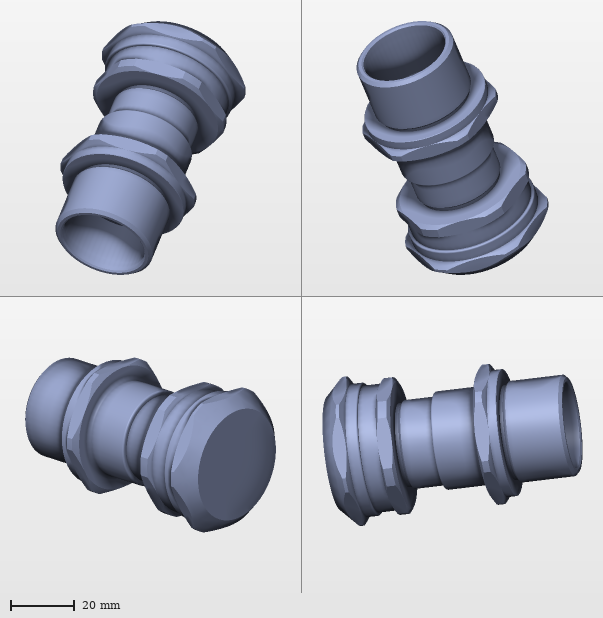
import cadquery as cq
import math

LENGTH = 76.05

THREAD_DIA = 32.0
RELIEF_DIA = 30.0
THREAD_END = 19.0
FLANGE_START = 20.0
FLANGE_CHAMFER = 0.15
THREAD_CHAMFER = (THREAD_DIA - RELIEF_DIA) / 2

BORE_DIA = 27.0
BORE_MOUTH_DIA = 28.0
BORE_DEPTH = 18.0

BODY_DIA = 40.0
COLLAR_DIA = 42.0
COLLAR_START = 64.3
COLLAR_EDGE_RADIUS = 0.5

BARREL_DIA = 31.0
BARREL_END = 42.05
BARREL_EDGE_RADIUS = 0.6
BARREL_ROOT_DIA = 33.5
BARREL_ROOT_RADIUS = (BARREL_ROOT_DIA - BARREL_DIA) / 2
STEM_DIA = 28.0
STEM_END = 52.8
NECK_DIA = 26.5
STEM_CHAMFER = (STEM_DIA - NECK_DIA) / 2

HEX_FLATS = 40.0
HEX_CHAMFER_ANGLE = 30
LOWER_HEX_CORNERS = 44.1
LOWER_HEX_START = 23.0
LOWER_HEX_END = 27.45
MIDDLE_HEX_CORNERS = 43.05
MIDDLE_HEX_START = 53.9
MIDDLE_HEX_END = 58.55
CAP_HEX_FLATS = 43.0
CAP_HEX_CORNERS = 47.0
CAP_HEX_START = 68.1
CAP_CONE_HEIGHT = 5.5


def cylinder(diameter, start, end):
    """Cylinder along +Y between two axial positions."""
    return cq.Workplane("XZ", origin=(0, start, 0)).circle(diameter / 2).extrude(start - end)


def hexagon(flats, start, end):
    """Hexagonal prism along Y with two corners on the X axis."""
    corner_circle = flats / math.cos(math.pi / 6)
    return cq.Workplane("XZ", origin=(0, start, 0)).polygon(6, corner_circle).extrude(start - end)


def chamfer_height(corner_dia, face_dia):
    """Axial height of a hexagon corner chamfer."""
    return (corner_dia - face_dia) / 2 * math.tan(math.radians(HEX_CHAMFER_ANGLE))


def revolve_profile(points):
    """Solid of revolution about Y from (radius, y) points."""
    return cq.Workplane("XY").polyline(points).close().revolve(360, (0, 0, 0), (0, 1, 0))


def chamfered_hexagon(corner_dia, start, end):
    """Hexagon whose corners are turned round and chamfered at both ends."""
    height = chamfer_height(corner_dia, BODY_DIA)
    envelope = revolve_profile([
        (0, start),
        (BODY_DIA / 2, start),
        (corner_dia / 2, start + height),
        (corner_dia / 2, end - height),
        (BODY_DIA / 2, end),
        (0, end),
    ])
    return hexagon(HEX_FLATS, start, end).intersect(envelope)


def cap_hexagon():
    """Cap hexagon, chamfered toward the collar and coned toward the closed end."""
    corner_radius = CAP_HEX_CORNERS / 2
    envelope = revolve_profile([
        (0, CAP_HEX_START),
        (COLLAR_DIA / 2, CAP_HEX_START),
        (corner_radius, CAP_HEX_START + chamfer_height(CAP_HEX_CORNERS, COLLAR_DIA)),
        (corner_radius, LENGTH - CAP_CONE_HEIGHT),
        (corner_radius - CAP_CONE_HEIGHT, LENGTH),
        (0, LENGTH),
    ])
    return hexagon(CAP_HEX_FLATS, CAP_HEX_START, LENGTH).intersect(envelope)


def barrel():
    """Barrel with a concave root fillet and a rounded far edge."""
    radius = BARREL_DIA / 2
    root_centre_y = LOWER_HEX_END + BARREL_ROOT_RADIUS
    arc_offset = BARREL_ROOT_RADIUS * math.sin(math.pi / 4)
    profile = (
        cq.Workplane("XY")
        .moveTo(0, LOWER_HEX_END)
        .lineTo(BARREL_ROOT_DIA / 2, LOWER_HEX_END)
        .threePointArc(
            (BARREL_ROOT_DIA / 2 - arc_offset, root_centre_y - arc_offset),
            (radius, root_centre_y),
        )
        .lineTo(radius, BARREL_END)
        .lineTo(0, BARREL_END)
        .close()
    )
    return profile.revolve(360, (0, 0, 0), (0, 1, 0)).faces(">Y").edges().fillet(BARREL_EDGE_RADIUS)


def bore():
    """Blind bore with a 45 degree countersink at its mouth."""
    mouth_depth = (BORE_MOUTH_DIA - BORE_DIA) / 2
    return revolve_profile([
        (0, 0),
        (BORE_MOUTH_DIA / 2, 0),
        (BORE_DIA / 2, mouth_depth),
        (BORE_DIA / 2, BORE_DEPTH),
        (0, BORE_DEPTH),
    ])


thread = cylinder(THREAD_DIA, 0, THREAD_END).faces("<Y or >Y").edges().chamfer(THREAD_CHAMFER)
flange = cylinder(BODY_DIA, FLANGE_START, LOWER_HEX_START).faces("<Y").edges().chamfer(FLANGE_CHAMFER)
stem = cylinder(STEM_DIA, BARREL_END, STEM_END).faces(">Y").edges().chamfer(STEM_CHAMFER)
collar = cylinder(COLLAR_DIA, COLLAR_START, CAP_HEX_START).faces("<Y").edges().fillet(COLLAR_EDGE_RADIUS)

sections = [
    cylinder(RELIEF_DIA, THREAD_END, FLANGE_START),
    flange,
    chamfered_hexagon(LOWER_HEX_CORNERS, LOWER_HEX_START, LOWER_HEX_END),
    barrel(),
    stem,
    cylinder(NECK_DIA, STEM_END, MIDDLE_HEX_START),
    chamfered_hexagon(MIDDLE_HEX_CORNERS, MIDDLE_HEX_START, MIDDLE_HEX_END),
    cylinder(BODY_DIA, MIDDLE_HEX_END, COLLAR_START),
    collar,
    cap_hexagon(),
]

fitting = thread
for section in sections:
    fitting = fitting.union(section)

result = fitting.cut(bore())